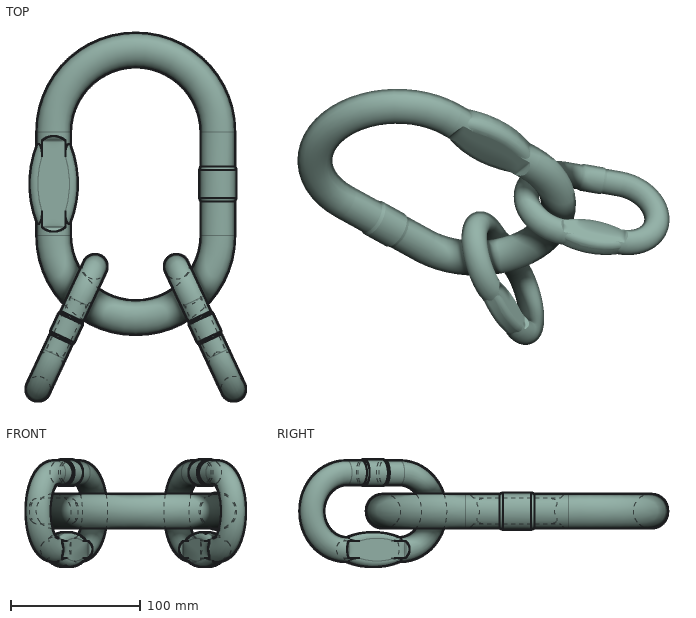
import cadquery as cq
import math

MASTER_LINK = (27.0, 180.0, 100.0, 29.02)
SUB_LINK = (19.5, 85.0, 40.0, 20.96)

COLLAR_LENGTH = 1.0
COLLAR_CHAMFER_LENGTH = 0.1
SWELL_WIDTH = 1.395
SWELL_RADIUS = 3.0
SWELL_ROUNDING = 0.245
FLAT_THICKNESS = 0.742
FLAT_LENGTH = 2.48

FLAT_END_SLOPE = 45.0
FLAT_CORNER_RADIUS = 1.2

UPRIGHT_TURN = -90.0

SUB_TILT = 25.0
SUB_CENTRE_X = 53.56
SUB_CENTRE_Y = -111.36


def make_wire(wire_dia, bend_radius, half_straight):
    """Round bar bent to a closed oval in the XY plane, with its straights along Y."""
    path = (
        cq.Workplane("XY")
        .moveTo(bend_radius, -half_straight)
        .lineTo(bend_radius, half_straight)
        .threePointArc((0, half_straight + bend_radius), (-bend_radius, half_straight))
        .lineTo(-bend_radius, -half_straight)
        .threePointArc((0, -half_straight - bend_radius), (bend_radius, -half_straight))
        .close()
    )
    section = cq.Workplane("XZ", origin=(bend_radius, -half_straight, 0)).circle(wire_dia / 2)
    return section.sweep(path)


def make_collar(wire_dia, collar_dia, bend_radius):
    """Weld collar with conical ends around the +X straight."""
    half_length = COLLAR_LENGTH * wire_dia / 2
    half_land = half_length - COLLAR_CHAMFER_LENGTH * wire_dia
    wire_radius = wire_dia / 2
    collar_radius = collar_dia / 2
    return (
        cq.Workplane("XY")
        .polyline([
            (0, -half_length),
            (wire_radius, -half_length),
            (collar_radius, -half_land),
            (collar_radius, half_land),
            (wire_radius, half_length),
            (0, half_length),
        ])
        .close()
        .revolve(360, (0, 0, 0), (0, 1, 0))
        .translate((bend_radius, 0, 0))
    )


def make_swell(wire_dia, bend_radius):
    """Plate with two bowed, rounded sides that widens the -X straight."""
    half_width = SWELL_WIDTH * wire_dia / 2
    half_length = FLAT_LENGTH * wire_dia / 2
    thickness = FLAT_THICKNESS * wire_dia
    radius = SWELL_RADIUS * wire_dia
    end_half_width = half_width - radius + math.sqrt(radius**2 - half_length**2)
    return (
        cq.Workplane("XY")
        .moveTo(-end_half_width, -half_length)
        .lineTo(end_half_width, -half_length)
        .threePointArc((half_width, 0), (end_half_width, half_length))
        .lineTo(-end_half_width, half_length)
        .threePointArc((-half_width, 0), (-end_half_width, -half_length))
        .close()
        .extrude(thickness / 2, both=True)
        .faces(">Z or <Z")
        .edges("%CIRCLE")
        .fillet(SWELL_ROUNDING * wire_dia)
        .translate((-bend_radius, 0, 0))
    )


def make_flat_cut(wire_dia, bend_radius):
    """Trough above the -X straight, with a flat floor and sloped ends that blend into it."""
    floor = FLAT_THICKNESS * wire_dia / 2
    half_floor = FLAT_LENGTH * wire_dia / 2
    depth = wire_dia / 2
    half_top = half_floor + depth / math.tan(math.radians(FLAT_END_SLOPE))
    return (
        cq.Workplane("YZ", origin=(-bend_radius, 0, 0))
        .polyline([
            (-half_floor, floor),
            (half_floor, floor),
            (half_top, floor + depth),
            (-half_top, floor + depth),
        ])
        .close()
        .extrude(wire_dia / 2, both=True)
        .faces("<Z")
        .edges("|X")
        .fillet(FLAT_CORNER_RADIUS)
    )


def make_link(wire_dia, inside_length, inside_width, collar_dia):
    """Oval link in the XY plane: collar on the +X straight, flattened swell on the -X straight."""
    bend_radius = (inside_width + wire_dia) / 2
    half_straight = (inside_length - inside_width) / 2
    flat_cut = make_flat_cut(wire_dia, bend_radius)
    return (
        make_wire(wire_dia, bend_radius, half_straight)
        .cut(flat_cut)
        .cut(flat_cut.mirror("XY"))
        .union(make_swell(wire_dia, bend_radius))
        .union(make_collar(wire_dia, collar_dia, bend_radius))
    )


def make_sub_link(side):
    """Sub link standing upright, collar on top, splayed outward on the given side of X (-1 or +1)."""
    return (
        make_link(*SUB_LINK)
        .rotate((0, 0, 0), (0, 1, 0), UPRIGHT_TURN)
        .rotate((0, 0, 0), (0, 0, 1), side * SUB_TILT)
        .translate((side * SUB_CENTRE_X, SUB_CENTRE_Y, 0))
    )


master_link = make_link(*MASTER_LINK)
sub_links = [make_sub_link(side) for side in (-1, 1)]

result = cq.Compound.makeCompound([master_link.val(), *[link.val() for link in sub_links]])